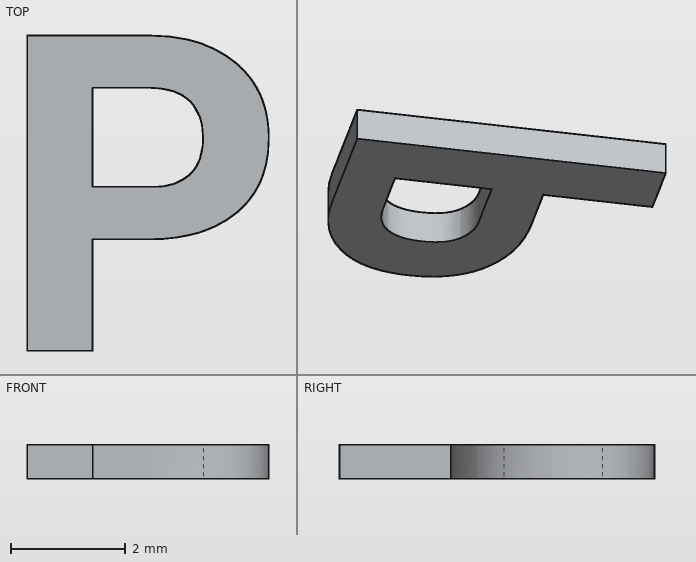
import cadquery as cq

height = 5.53
width = 4.24
thickness = 0.6

stem_width = 1.15
bowl_bottom = 1.955
stroke_height = 0.92
bowl_stroke_width = 1.155

counter_right = width - bowl_stroke_width
counter_top = height - stroke_height
counter_bottom = 2.88

bowl_apex_y = 3.73

outer_top_start_x = 2.17
outer_bottom_start_x = 2.15
counter_top_start_x = 2.17
counter_bottom_start_x = 2.28

outer_top_control = (3.08, 4.57)
outer_bottom_control = (3.11, 2.89)
counter_top_control = (2.62, 4.15)
counter_bottom_control = (2.60, 3.29)


def bowl_quarter(start_x, edge_y, right_x, control):
    """Return the two quadratic Bezier pieces from a horizontal edge to the bowl's apex."""
    edge_control = (control[0], edge_y)
    side_control = (right_x, control[1])
    joint = ((control[0] + right_x) / 2, (edge_y + control[1]) / 2)
    start = (start_x, edge_y)
    apex = (right_x, bowl_apex_y)
    return [[start, edge_control, joint], [joint, side_control, apex]]


def add_bowl(sketch, right_x, top, bottom):
    """Draw a bowl clockwise; top and bottom are (start x, edge y, control)."""
    upper = bowl_quarter(top[0], top[1], right_x, top[2])
    lower = bowl_quarter(bottom[0], bottom[1], right_x, bottom[2])
    sketch = sketch.lineTo(top[0], top[1])
    for piece in upper:
        sketch = sketch.bezier(piece)
    for piece in reversed(lower):
        sketch = sketch.bezier(piece[::-1])
    return sketch


def make_body():
    """Solid letter: stem plus filled bowl."""
    top = (outer_top_start_x, height, outer_top_control)
    bottom = (outer_bottom_start_x, bowl_bottom, outer_bottom_control)
    outline = cq.Workplane("XY").moveTo(0, 0).lineTo(0, height)
    outline = add_bowl(outline, width, top, bottom)
    outline = outline.lineTo(stem_width, bowl_bottom).lineTo(stem_width, 0).close()
    return outline.extrude(thickness)


def make_counter():
    """Through window bounded by the stem and the bowl stroke."""
    top = (counter_top_start_x, counter_top, counter_top_control)
    bottom = (counter_bottom_start_x, counter_bottom, counter_bottom_control)
    outline = cq.Workplane("XY").moveTo(stem_width, counter_bottom).lineTo(stem_width, counter_top)
    outline = add_bowl(outline, counter_right, top, bottom)
    return outline.close().extrude(thickness)


result = make_body().cut(make_counter())